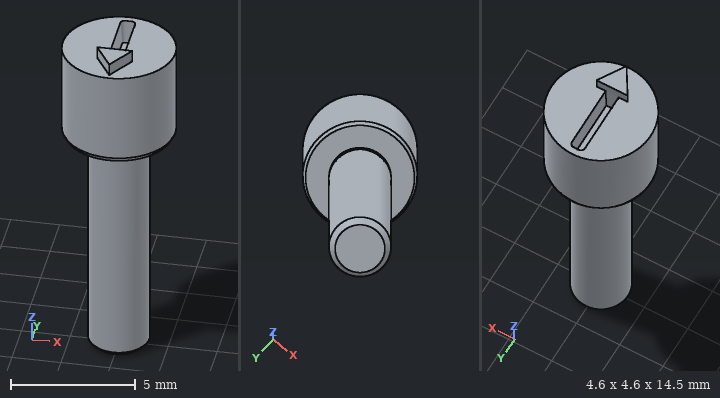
import cadquery as cq

head_diameter = 4.6
head_height = 4.0
head_chamfer_height = 0.2
head_chamfer_width = 0.115

pin_diameter = 2.5
pin_length = 10.0
pin_tip_chamfer = 0.25
neck_groove_height = 0.2
neck_groove_depth = 0.05

arrow_height = 0.5
arrow_half_width = 0.72
arrow_base_y = -0.9
arrow_tip_y = -2.07
slot_width = 0.6
slot_end_y = 2.0
slot_depth = 1.0
slot_corner_radius = 0.18
slot_wall_draft = 4.0


def make_head():
    head = cq.Workplane("XY").circle(head_diameter / 2).extrude(-head_height)
    return head.faces("<Z").chamfer(head_chamfer_height, head_chamfer_width)


def make_pin():
    """Pin with a chamfered tip and a shallow round groove right under the head."""
    radius = pin_diameter / 2
    top_z = -head_height
    tip_z = top_z - pin_length
    groove_middle = (radius - neck_groove_depth, top_z - neck_groove_height / 2)
    groove_end = (radius, top_z - neck_groove_height)
    profile = (
        cq.Workplane("XZ")
        .moveTo(0, top_z)
        .lineTo(radius, top_z)
        .threePointArc(groove_middle, groove_end)
        .lineTo(radius, tip_z + pin_tip_chamfer)
        .lineTo(radius - pin_tip_chamfer, tip_z)
        .lineTo(0, tip_z)
        .close()
    )
    return profile.revolve(360, (0, 0, 0), (0, 1, 0))


def make_arrow_head():
    return (
        cq.Workplane("XY")
        .moveTo(-arrow_half_width, arrow_base_y)
        .lineTo(arrow_half_width, arrow_base_y)
        .lineTo(0, arrow_tip_y)
        .close()
        .extrude(arrow_height)
    )


def make_arrow_slot():
    """Cutter for the sunken arrow shaft: drafted walls, rounded corners at its far end."""
    left_x = -slot_width / 2
    right_x = slot_width / 2
    corner_y = slot_end_y - slot_corner_radius
    return (
        cq.Workplane("XY")
        .moveTo(left_x, arrow_base_y)
        .lineTo(right_x, arrow_base_y)
        .lineTo(right_x, corner_y)
        .tangentArcPoint((-slot_corner_radius, slot_corner_radius))
        .lineTo(left_x + slot_corner_radius, slot_end_y)
        .tangentArcPoint((-slot_corner_radius, -slot_corner_radius))
        .close()
        .extrude(-slot_depth, taper=slot_wall_draft)
    )


result = make_head().union(make_pin()).cut(make_arrow_slot()).union(make_arrow_head())